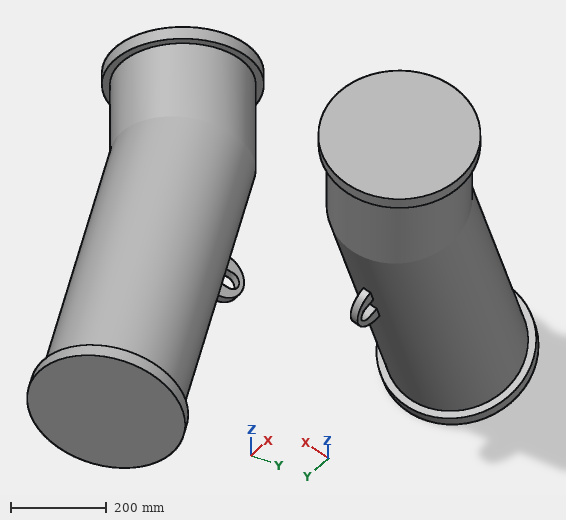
import cadquery as cq
import math

overall_height = 974.0
bend_angle = 15.0
pipe_diameter = 306.0
flange_diameter = 340.0
flange_thickness = 30.0
lower_length = 727.0

lug_distance = 228.0
lug_radius = 56.0
lug_thickness = 19.0
slot_width = 43.0
slot_reach = 44.0

pipe_radius = pipe_diameter / 2
flange_radius = flange_diameter / 2

bend_radians = math.radians(bend_angle)
lower_drop = lower_length * math.cos(bend_radians) + flange_radius * math.sin(bend_radians)
upper_length = overall_height - lower_drop

lower_direction = cq.Vector(0, -math.sin(bend_radians), -math.cos(bend_radians))
upper_direction = cq.Vector(0, 0, 1)
bend_point = cq.Vector(0, 0, 0)

mitre_normal = upper_direction - lower_direction


def flanged_leg(direction, length, mitre_side):
    """Round leg cut at the mitre, with a flange closing its far end."""
    pipe_start = bend_point - direction * pipe_radius
    pipe = cq.Solid.makeCylinder(pipe_radius, length + pipe_radius, pipe_start, direction)
    keep_plane = cq.Plane(origin=bend_point, xDir=(1, 0, 0), normal=mitre_normal * mitre_side)
    keep_side = cq.Workplane(keep_plane).circle(2 * length).extrude(2 * length)
    flange_start = bend_point + direction * (length - flange_thickness)
    flange = cq.Solid.makeCylinder(flange_radius, flange_thickness, flange_start, direction)
    return cq.Workplane(pipe).intersect(keep_side).union(cq.Workplane(flange))


def lifting_lug():
    """Round plate centred on the pipe surface, with a slot running into the pipe wall."""
    outward = cq.Vector(0, math.cos(bend_radians), -math.sin(bend_radians))
    centre = bend_point + lower_direction * lug_distance + outward * pipe_radius
    plate_plane = cq.Plane(origin=centre, xDir=outward, normal=(1, 0, 0))
    plate = cq.Workplane(plate_plane).circle(lug_radius).extrude(lug_thickness / 2, both=True)
    slot = cq.Workplane(plate_plane).slot2D(2 * slot_reach, slot_width).extrude(lug_thickness, both=True)
    return plate.cut(slot)


upper_leg = flanged_leg(upper_direction, upper_length, 1)
lower_leg = flanged_leg(lower_direction, lower_length, -1)

result = upper_leg.union(lower_leg).union(lifting_lug())